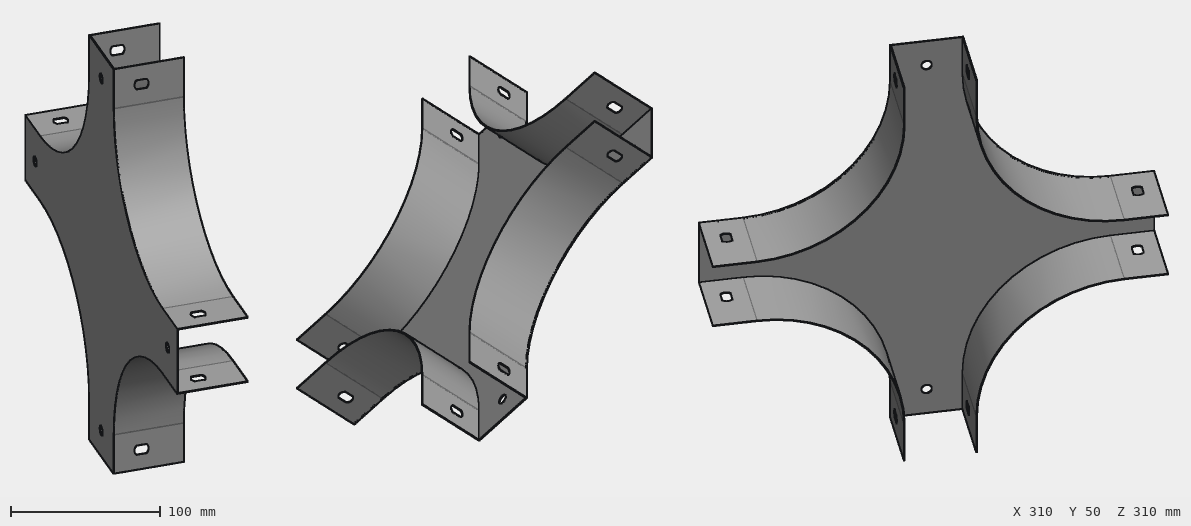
import cadquery as cq
import math

span = 310.0
duct_width = 50.0
depth = 50.0
sheet = 0.8
corner_radius = 100.0

hole_diameter = 7.0
hole_from_end = 20.0

slot_length = 10.0
slot_width = 7.0
slot_from_end = 15.0
slot_from_plate = 20.0

half_span = span / 2
front_y = -depth / 2
back_y = depth / 2
arm_angles = (0, 90, 180, 270)


def cross_prism(half_width, radius, tip, start_y, end_y):
    """Cross with arms of the given half width, joined by concave quarter arcs."""
    tangent = half_width + radius
    arc_middle = tangent - radius * math.sqrt(0.5)
    quarter = (
        (tip, half_width),
        (tangent, half_width),
        (arc_middle, arc_middle),
        (half_width, tangent),
        (half_width, tip),
    )
    outline = cq.Workplane("XZ", origin=(0, end_y, 0)).moveTo(tip, -half_width)
    for angle in arm_angles:
        cosine = round(math.cos(math.radians(angle)))
        sine = round(math.sin(math.radians(angle)))
        arm_side, arc_start, middle, arc_end, next_tip = [
            (x * cosine - z * sine, x * sine + z * cosine) for x, z in quarter
        ]
        outline = outline.lineTo(*arm_side).lineTo(*arc_start)
        outline = outline.threePointArc(middle, arc_end).lineTo(*next_tip)
    return outline.close().extrude(end_y - start_y)


def duct_shell():
    """Plate with side walls, open at the back and at the four arm ends."""
    outer = cross_prism(duct_width / 2, corner_radius, half_span, front_y, back_y)
    inner = cross_prism(
        duct_width / 2 - sheet, corner_radius + sheet, half_span, front_y + sheet, back_y
    )
    return outer.cut(inner)


def right_arm_holes():
    """Cutters for the right arm: one plate hole and a slot through both walls."""
    plate_hole = (
        cq.Workplane("XZ", origin=(half_span - hole_from_end, front_y + sheet, 0))
        .circle(hole_diameter / 2)
        .extrude(sheet)
    )
    slot_plane = cq.Workplane("XY", origin=(half_span - slot_from_end, front_y + slot_from_plate, 0))
    round_bar = slot_plane.circle(slot_length / 2).extrude(duct_width / 2, both=True)
    flat_bar = slot_plane.rect(slot_width, slot_length).extrude(duct_width / 2, both=True)
    wall_slots = round_bar.intersect(flat_bar)
    return plate_hole.union(wall_slots)


result = duct_shell()
for arm_angle in arm_angles:
    result = result.cut(right_arm_holes().rotate((0, 0, 0), (0, 1, 0), arm_angle))